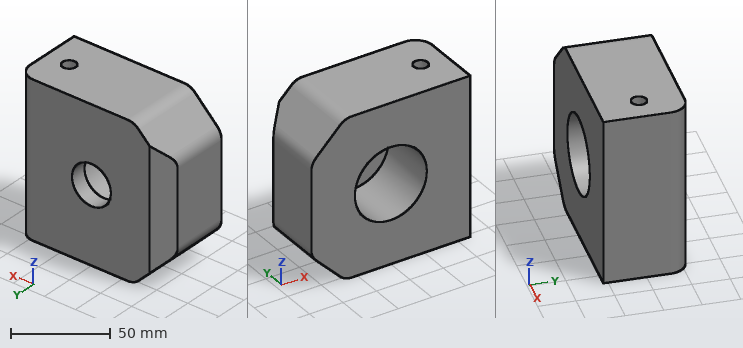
import cadquery as cq

side = 95.0
thickness = 45.0
half_side = side / 2

corner_cut = 20.0
edge_size = 10.0

bore_diameter = 25.0
counterbore_diameter = 43.0
counterbore_depth = 35.1

pin_diameter = 8.2
pin_edge_distance = 15.0
pin_x = half_side - pin_edge_distance
pin_y = thickness / 2


def cylinder_along_y(diameter, length):
    """Cylinder on the bore axis, running rearward from the front face."""
    return cq.Workplane("XZ").circle(diameter / 2).extrude(-length)


def block():
    """Square block with two cut left corners, each blended at both ends."""
    outline = [
        (half_side, -half_side),
        (half_side, half_side),
        (-half_side + corner_cut, half_side),
        (-half_side, half_side - corner_cut),
        (-half_side, -half_side + corner_cut),
        (-half_side + corner_cut, -half_side),
    ]
    body = cq.Workplane("XZ").polyline(outline).close().extrude(-thickness)
    body = body.edges("|Y and (not >X)").fillet(edge_size)
    return body.edges(">X and >Y").fillet(edge_size)


def rear_bevel():
    """Triangular prism that bevels the rear left edge over the full height."""
    corners = [
        (-half_side, thickness),
        (-half_side + edge_size, thickness),
        (-half_side, thickness - edge_size),
    ]
    return cq.Workplane("XY").polyline(corners).close().extrude(half_side, both=True)


def pin_hole():
    """Cross hole through the full height."""
    profile = cq.Workplane("XY").center(pin_x, pin_y).circle(pin_diameter / 2)
    return profile.extrude(half_side, both=True)


result = (
    block()
    .cut(rear_bevel())
    .cut(cylinder_along_y(bore_diameter, thickness))
    .cut(cylinder_along_y(counterbore_diameter, counterbore_depth))
    .cut(pin_hole())
)